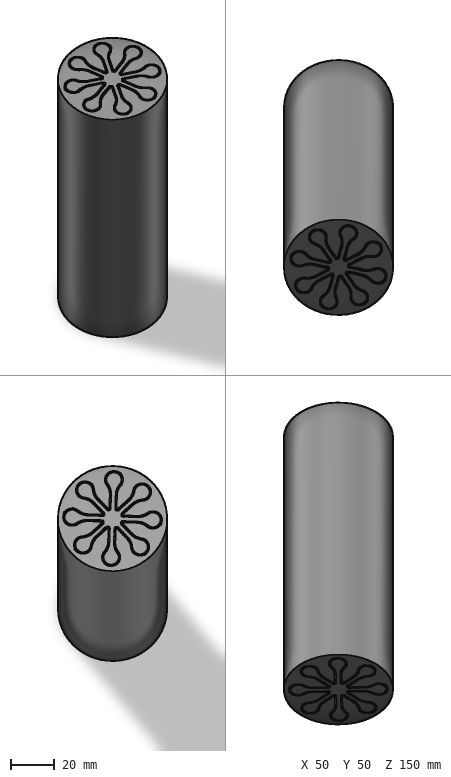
import cadquery as cq
import math

LENGTH = 150.0
HOUSING_RADIUS = LENGTH / 6

TWIST = 450.0

LOBE_COUNT = 8
ROOT_RADIUS = 1.0
SPOKE_WIDTH = 2.0
BULB_RADIUS = 3.5
BULB_DISTANCE = 18.5
NECK_RADIUS = 8.2

GAP = 0.8


def turned(point, angle):
    """The point turned about the axis."""
    x, y = point
    cosine = math.cos(angle)
    sine = math.sin(angle)
    return (x * cosine - y * sine, x * sine + y * cosine)


def mirrored(point):
    """The point on the other side of a lobe that lies along +X."""
    return (point[0], -point[1])


def lobed_section(growth):
    """Closed section of spokes and bulbs, grown outward by `growth`."""
    spoke_half = SPOKE_WIDTH / 2 + growth
    bulb = BULB_RADIUS + growth
    neck = NECK_RADIUS - growth
    root = ROOT_RADIUS - growth

    neck_y = spoke_half + neck
    neck_x = BULB_DISTANCE - math.sqrt((bulb + neck) ** 2 - neck_y**2)
    neck_end_angle = math.atan2(-neck_y, BULB_DISTANCE - neck_x)
    neck_middle_angle = (neck_end_angle - math.pi / 2) / 2

    def on_neck(angle):
        return (neck_x + neck * math.cos(angle), neck_y + neck * math.sin(angle))

    spoke_end = (neck_x, spoke_half)
    neck_middle = on_neck(neck_middle_angle)
    neck_end = on_neck(neck_end_angle)
    bulb_tip = (BULB_DISTANCE + bulb, 0.0)

    step = 2 * math.pi / LOBE_COUNT
    root_centre = (spoke_half + root) / math.sin(step / 2)
    spoke_start = (root_centre * math.cos(step / 2), spoke_half)
    root_middle = turned((root_centre - root, 0.0), step / 2)

    section = cq.Workplane("XY").moveTo(*mirrored(spoke_start))
    for index in range(LOBE_COUNT):
        angle = index * step
        section = (
            section.lineTo(*turned(mirrored(spoke_end), angle))
            .threePointArc(turned(mirrored(neck_middle), angle), turned(mirrored(neck_end), angle))
            .threePointArc(turned(bulb_tip, angle), turned(neck_end, angle))
            .threePointArc(turned(neck_middle, angle), turned(spoke_end, angle))
            .lineTo(*turned(spoke_start, angle))
            .threePointArc(turned(root_middle, angle), turned(mirrored(spoke_start), angle + step))
        )
    return section.close()


def twisted_lobes(growth):
    """The lobed section swept up the full length while it turns about the axis."""
    return lobed_section(growth).twistExtrude(LENGTH, TWIST)


def make_core():
    return twisted_lobes(0.0)


def make_housing():
    """Plain cylinder with a twisted through cavity that clears the core."""
    cylinder = cq.Workplane("XY").circle(HOUSING_RADIUS).extrude(LENGTH)
    return cylinder.cut(twisted_lobes(GAP))


core = make_core()
housing = make_housing()
result = cq.Compound.makeCompound([core.val(), housing.val()])